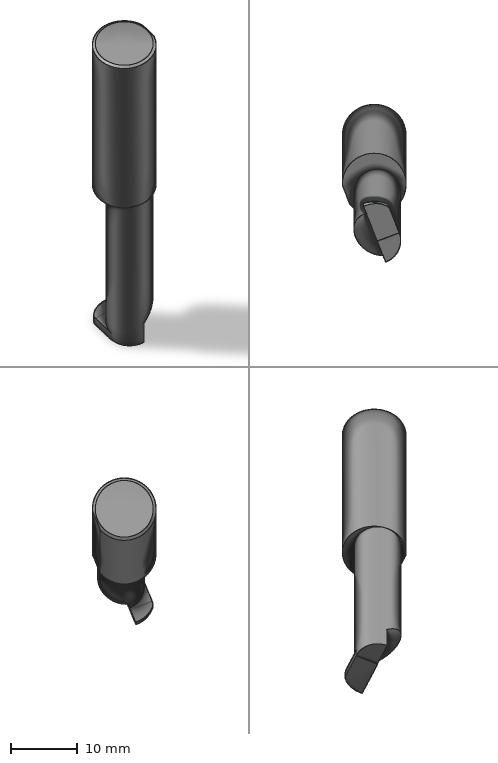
import cadquery as cq

total_length = 63.5
shank_radius = 4.75
shank_bottom = 31.75
flat_depth = 0.25
chamfer_inset = 0.45
chamfer_height = 0.25

neck_radius = 3.5
neck_center_x = shank_radius - neck_radius
neck_bottom = 0.25
relief_bottom = 4.6

head_height = 1.65
crease_x = -2.5
nose_drop = 0.2
bottom_taper = 0.1
heel_x = -2.65
flank_end_x = -3.1
flank_end_y = -3.35
flank_bulge = 0.45
corner_inset = 0.3
corner_fade = 0.3


def make_shank():
    shank = (
        cq.Workplane("XY")
        .workplane(offset=shank_bottom)
        .circle(shank_radius)
        .extrude(total_length - shank_bottom)
        .faces(">Z")
        .chamfer(chamfer_height, chamfer_inset)
    )
    flat_cut = cq.Workplane("XY").box(
        2 * shank_radius, shank_radius, total_length, centered=(True, False, False)
    )
    return shank.cut(flat_cut.translate((0, shank_radius - flat_depth, 0)))


def make_neck():
    neck = (
        cq.Workplane("XY")
        .workplane(offset=neck_bottom)
        .center(neck_center_x, 0)
        .circle(neck_radius)
        .extrude(shank_bottom - neck_bottom)
    )
    reach = 2 * neck_radius
    relief = (
        cq.Workplane("YZ")
        .polyline([(0, 0), (reach, 0), (reach, relief_bottom + reach), (0, relief_bottom)])
        .close()
        .extrude(2 * shank_radius, both=True)
    )
    return neck.cut(relief)


def head_plan(height, nose_inset=0.0, heel_clearance=0.0):
    """Outline of the head at a given height, with its flank swung by the two offsets."""
    nose_x = nose_inset - shank_radius
    end_x = flank_end_x - heel_clearance
    mid_x = (nose_x + end_x) / 2 - flank_bulge
    return (
        cq.Workplane("XY", origin=(0, 0, height))
        .moveTo(nose_x, 0)
        .threePointArc((mid_x, flank_end_y / 2), (end_x, flank_end_y))
        .lineTo(heel_x - heel_clearance, -neck_radius)
        .lineTo(neck_center_x, -neck_radius)
        .lineTo(neck_center_x, 0)
        .close()
    )


def make_bevel_envelope(face_height):
    """Half of the head, from its mid height to one face, drawn in at the nose."""
    mid_height = head_height / 2
    mid_wire = head_plan(mid_height, 0, corner_fade).val()
    face_wire = head_plan(face_height, corner_inset, 0).val()
    return cq.Workplane(cq.Solid.makeLoft([mid_wire, face_wire], True))


def make_head():
    side = (
        cq.Workplane("YZ")
        .polyline([
            (0, 0),
            (0, head_height),
            (-neck_radius, head_height),
            (-neck_radius, bottom_taper),
        ])
        .close()
        .extrude(2 * shank_radius, both=True)
    )
    nose_slope = (
        cq.Workplane("XZ")
        .polyline([
            (crease_x, head_height),
            (-shank_radius, head_height - nose_drop),
            (-shank_radius, head_height),
        ])
        .close()
        .extrude(neck_radius)
    )
    envelope = make_bevel_envelope(0).union(make_bevel_envelope(head_height))
    return head_plan(0).extrude(head_height).intersect(side).intersect(envelope).cut(nose_slope)


result = make_shank().union(make_neck()).union(make_head())